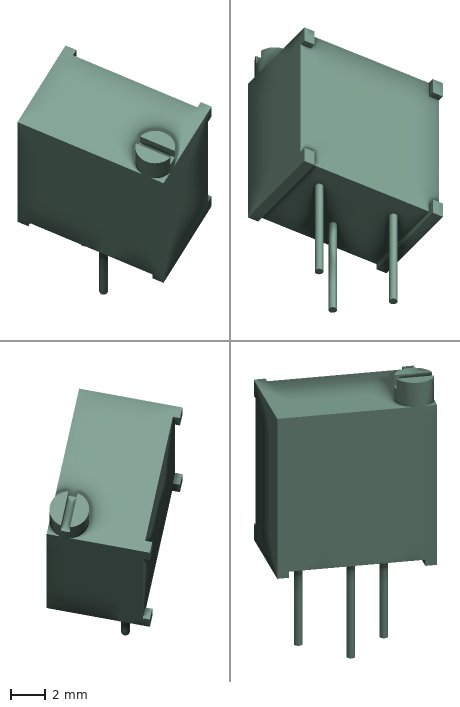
import cadquery as cq

total_height = 17.57
pin_length = 6.01
screw_height = 1.51

body_width = 9.52
body_depth = 6.11
body_bottom = pin_length
body_top = total_height - screw_height
body_height = body_top - body_bottom

standoff_width = 0.7
rail_height = 0.39
tab_depth = 0.42
tab_height = 1.0

pin_diameter = 0.51
pin_pitch = 2.55
pin_front_y = 1.67
pin_back_y = pin_front_y + pin_pitch

screw_diameter = 2.3
screw_overhang = 0.04
screw_x = body_width + screw_overhang - screw_diameter / 2
screw_y = screw_diameter / 2 - screw_overhang
slot_width = 0.55
slot_depth = 0.65


def corner_box(x, y, z, width, depth, height):
    """Box whose lowest corner is at (x, y, z)."""
    return cq.Workplane("XY").box(width, depth, height, centered=False).translate((x, y, z))


def make_housing():
    core_depth = body_depth - tab_depth
    core_height = body_height - rail_height
    housing = corner_box(0, 0, body_bottom + rail_height, body_width, core_depth, core_height)
    for x in (0, body_width - standoff_width):
        housing = housing.union(
            corner_box(x, 0, body_bottom, standoff_width, core_depth, rail_height)
        )
        for z in (body_bottom, body_top - tab_height):
            housing = housing.union(
                corner_box(x, core_depth, z, standoff_width, tab_depth, tab_height)
            )
    return housing


def make_pins():
    middle_x = body_width / 2
    positions = [
        (middle_x - pin_pitch, pin_back_y),
        (middle_x, pin_front_y),
        (middle_x + pin_pitch, pin_back_y),
    ]
    return (
        cq.Workplane("XY")
        .pushPoints(positions)
        .circle(pin_diameter / 2)
        .extrude(body_bottom + rail_height)
    )


def make_screw():
    head = (
        cq.Workplane("XY", origin=(screw_x, screw_y, body_top))
        .circle(screw_diameter / 2)
        .extrude(screw_height)
    )
    slot = corner_box(
        screw_x - screw_diameter / 2,
        screw_y - slot_width / 2,
        total_height - slot_depth,
        screw_diameter,
        slot_width,
        slot_depth,
    )
    return head.cut(slot)


result = make_housing().union(make_pins()).union(make_screw())